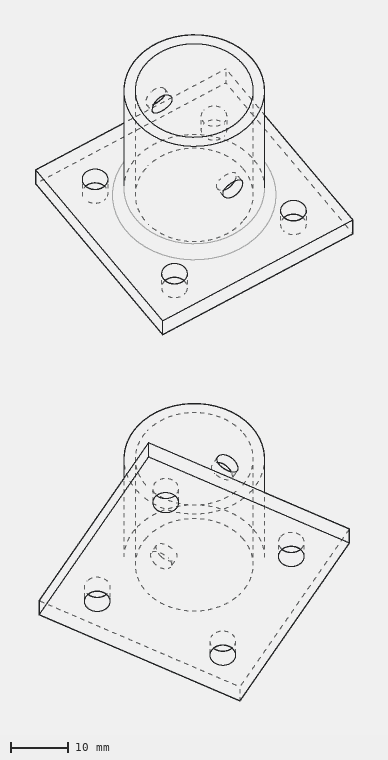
import cadquery as cq

plate_side = 40
plate_thickness = 4
mount_hole_diameter = 4.5
mount_hole_spacing = 25.0

total_height = 34
tube_outer_diameter = 24.6
tube_bore_diameter = 20.6
foot_fillet_radius = 2
tube_height = total_height - plate_thickness

pin_hole_diameter = 4.2
pin_hole_height = plate_thickness + tube_height / 2


def make_plate():
    """Base plate with its underside on Z = 0."""
    return cq.Workplane("XY").box(plate_side, plate_side, plate_thickness, centered=(True, True, False))


def add_tube(plate):
    """Solid tube body, blended into the plate by a fillet around its foot."""
    body = plate.faces(">Z").workplane().circle(tube_outer_diameter / 2).extrude(tube_height)
    return body.faces("<Z[1]").edges("%CIRCLE").fillet(foot_fillet_radius)


def cut_bore(body):
    """Blind bore from the tube rim down to the top of the plate."""
    return body.faces(">Z").workplane().circle(tube_bore_diameter / 2).cutBlind(-tube_height)


def cut_mount_holes(body):
    """Through holes near the four plate corners."""
    drills = (
        cq.Workplane("XY")
        .rect(mount_hole_spacing, mount_hole_spacing, forConstruction=True)
        .vertices()
        .circle(mount_hole_diameter / 2)
        .extrude(plate_thickness)
    )
    return body.cut(drills)


def cut_pin_hole(body):
    """Cross hole along X."""
    drill = (
        cq.Workplane("YZ")
        .center(0, pin_hole_height)
        .circle(pin_hole_diameter / 2)
        .extrude(tube_outer_diameter, both=True)
    )
    return body.cut(drill)


result = cut_pin_hole(cut_mount_holes(cut_bore(add_tube(make_plate()))))